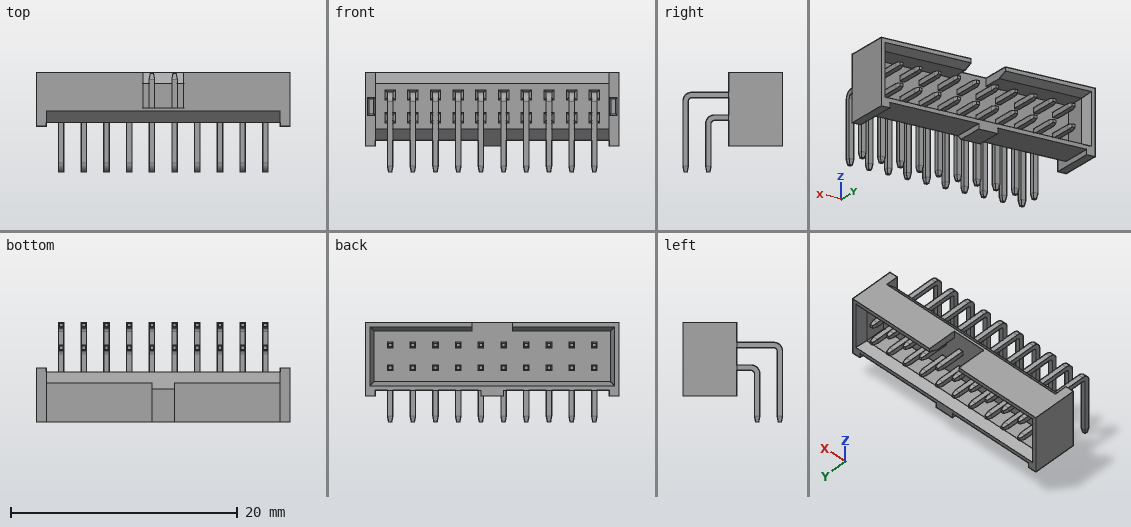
import cadquery as cq
import math


LENGTH = 22.4
DEPTH = 8.8
HEIGHT = 8.8

BODY_HEIGHT = 6.0
BODY_DEPTH = 4.43
REAR_BEVEL = 1.0
EAR_WIDTH = 0.9
EAR_DEPTH = 4.77
EAR_HEIGHT = 6.52

CAVITY_DEPTH = 3.15
WALL = 0.78
MOUTH_BEVEL_INSET = 0.38
MOUTH_BEVEL_DEPTH = 1.0
NOTCH_WIDTH = 3.58

KEY_WIDTH = 2.0

PINS_PER_ROW = 10
ROW_LENGTH = 18.0
PITCH = ROW_LENGTH / (PINS_PER_ROW - 1)
PIN = 0.5
PIN_BEND_OUTER = 0.8
PIN_BEND_INNER = PIN_BEND_OUTER - PIN
TIP_LENGTH = 0.51
TIP_WIDTH = 0.3
TIP_ANGLE = math.degrees(math.atan((PIN - TIP_WIDTH) / 2 / TIP_LENGTH))
PIN_SETBACK = 0.11

ENTRY_SIZE = 0.92
ENTRY_INSET = (ENTRY_SIZE - PIN) / 2

SLOT_X = 10.68
SLOT_WIDTH = 0.4
SLOT_HEIGHT = 1.32
SLOT_FLARE = 0.13
SLOT_DEPTH = 1.0

MID_Z = -BODY_HEIGHT / 2
UPPER_ROW_Z = MID_Z + PITCH / 2
ROW_OFFSETS = (0, PITCH)
PIN_XS = [i * PITCH - ROW_LENGTH / 2 for i in range(PINS_PER_ROW)]
PIN_PLACES = [(x, offset) for x in PIN_XS for offset in ROW_OFFSETS]


def block(x_size, y_min, y_max, z_min, z_max, x_mid=0.0):
    """Box centred on x_mid between the given Y and Z limits."""
    box = cq.Workplane("XY").box(x_size, y_max - y_min, z_max - z_min)
    return box.translate((x_mid, (y_min + y_max) / 2, (z_min + z_max) / 2))


def frustum(x, y, z, width, height, depth, inset):
    """Rectangular pocket cutter running from Y = y toward +Y, narrowing by inset on every side.

    A negative depth runs it toward -Y.
    """
    return (
        cq.Workplane("XZ", origin=(x, y, z))
        .rect(width, height)
        .workplane(offset=-depth)
        .rect(width - 2 * inset, height - 2 * inset)
        .loft(ruled=True)
    )


def bevelled_bar(x_size, bottom_z):
    """Housing bar whose rear edges are bevelled at 45 degrees; the lower bevel runs down to bottom_z."""
    lower_bevel_top = -BODY_HEIGHT + REAR_BEVEL
    lower_bevel = lower_bevel_top - bottom_z
    outline = [
        (0, 0),
        (-BODY_DEPTH + REAR_BEVEL, 0),
        (-BODY_DEPTH, -REAR_BEVEL),
        (-BODY_DEPTH, lower_bevel_top),
        (-BODY_DEPTH + lower_bevel, bottom_z),
        (0, bottom_z),
    ]
    return cq.Workplane("YZ").polyline(outline).close().extrude(x_size / 2, both=True)


def cavity():
    """Mating cavity with a bevelled mouth and a notch through the top wall."""
    width = LENGTH - 2 * WALL
    height = BODY_HEIGHT - 2 * WALL
    room = block(width, -CAVITY_DEPTH, 0, MID_Z - height / 2, MID_Z + height / 2)
    mouth = frustum(
        0, 0, MID_Z,
        width + 2 * MOUTH_BEVEL_INSET, height + 2 * MOUTH_BEVEL_INSET,
        -MOUTH_BEVEL_DEPTH, MOUTH_BEVEL_INSET,
    )
    notch = block(NOTCH_WIDTH, -CAVITY_DEPTH, 0, MID_Z, 0)
    return room.union(mouth).union(notch)


def ear_slot(x):
    """Blind slot with a flared entry, cut into the rear of an ear."""
    flare = frustum(
        x, -EAR_DEPTH, MID_Z,
        SLOT_WIDTH + 2 * SLOT_FLARE, SLOT_HEIGHT + 2 * SLOT_FLARE,
        SLOT_FLARE, SLOT_FLARE,
    )
    slot = block(
        SLOT_WIDTH, -EAR_DEPTH, -EAR_DEPTH + SLOT_DEPTH,
        MID_Z - SLOT_HEIGHT / 2, MID_Z + SLOT_HEIGHT / 2, x,
    )
    return flare.union(slot)


def pin_entry(x, offset):
    """Flared entry narrowing to the pin section, cut into the rear face."""
    return frustum(
        x, -BODY_DEPTH, UPPER_ROW_Z - offset,
        ENTRY_SIZE, ENTRY_SIZE, ENTRY_INSET, ENTRY_INSET,
    )


def housing():
    """Bevelled shell with ears and key, hollowed by the cavity, ear slots and pin entries."""
    shell = bevelled_bar(LENGTH, -BODY_HEIGHT)
    shell = shell.union(bevelled_bar(KEY_WIDTH, -EAR_HEIGHT))
    for side in (-1, 1):
        ear_x = side * (LENGTH - EAR_WIDTH) / 2
        shell = shell.union(block(EAR_WIDTH, -EAR_DEPTH, 0, -EAR_HEIGHT, 0, ear_x))
    shell = shell.cut(cavity())
    for side in (-1, 1):
        shell = shell.cut(ear_slot(side * SLOT_X))
    entries = [pin_entry(x, offset).val() for x, offset in PIN_PLACES]
    return shell.cut(cq.Compound.makeCompound(entries))


def bent_pin(x, offset):
    """Square pin running back from the cavity and bent down.

    The offset is how far its row lies below and ahead of the upper row.
    """
    mid_z = UPPER_ROW_Z - offset
    top = mid_z + PIN / 2
    rear = -DEPTH + offset
    front = -PIN_SETBACK - TIP_LENGTH
    foot = -HEIGHT + TIP_LENGTH
    bend_y = rear + PIN_BEND_OUTER
    bend_z = top - PIN_BEND_OUTER
    diagonal = math.sqrt(0.5)
    outer_mid = (bend_y - PIN_BEND_OUTER * diagonal, bend_z + PIN_BEND_OUTER * diagonal)
    inner_mid = (bend_y - PIN_BEND_INNER * diagonal, bend_z + PIN_BEND_INNER * diagonal)
    shank = (
        cq.Workplane("YZ", origin=(x, 0, 0))
        .moveTo(front, top)
        .lineTo(bend_y, top)
        .threePointArc(outer_mid, (rear, bend_z))
        .lineTo(rear, foot)
        .lineTo(rear + PIN, foot)
        .lineTo(rear + PIN, bend_z)
        .threePointArc(inner_mid, (bend_y, top - PIN))
        .lineTo(front, top - PIN)
        .close()
        .extrude(PIN / 2, both=True)
    )
    mating_tip = (
        cq.Workplane("XZ", origin=(x, front, mid_z))
        .rect(PIN, PIN)
        .extrude(-TIP_LENGTH, taper=TIP_ANGLE)
    )
    foot_tip = (
        cq.Workplane("XY", origin=(x, rear + PIN / 2, foot))
        .rect(PIN, PIN)
        .extrude(-TIP_LENGTH, taper=TIP_ANGLE)
    )
    return shank.union(mating_tip).union(foot_tip)


pins = [bent_pin(x, offset).val() for x, offset in PIN_PLACES]
connector = housing().union(cq.Compound.makeCompound(pins))
result = cq.Workplane(connector.solids().val())